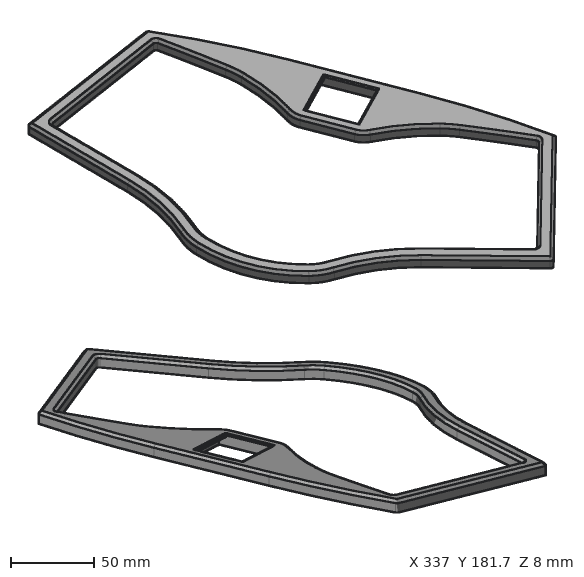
import cadquery as cq
import math

overall_length = 337.0
overall_width = 181.7
thickness = 8.0
rim_width = 10.0
edge_chamfer = 2.0
corner_radius = 2.05

arm_angle = 20.0
lower_corner_y = -19.5
top_y = overall_width / 2
top_half_flat = 42.0
top_corner_y = 84.3
bottom_y = -overall_width / 2
bottom_radius = 97.8
bottom_half_angle = 21.7
blend_radius = 39.5
shoulder_radius = 124.5

bridge_bottom_y = 43.0
bridge_half_flat = 17.5
bridge_tangent_points = [(-26.5, 46.2), (-63.7, 66.0), (-75.2, 69.0)]
opening_top_y = 77.0

window_length = 33.7
window_height = 31.7
window_center_y = 67.0
window_chamfer = 1.0
side_lip_thickness = 2.0
side_recess_depth = 5.0


def up_normal(slope):
    """Unit vector square to an edge that falls to the right at this slope (degrees)."""
    return (math.sin(math.radians(slope)), math.cos(math.radians(slope)))


def shifted(point, direction, distance):
    return (point[0] + direction[0] * distance, point[1] + direction[1] * distance)


def dot(a, b):
    return a[0] * b[0] + a[1] * b[1]


side_direction = up_normal(arm_angle)
arm_direction = (side_direction[1], -side_direction[0])

corner_overshoot = corner_radius * (arm_direction[0] + side_direction[0] - 1)
lower_corner = (-overall_length / 2 - corner_overshoot, lower_corner_y)

bottom_center = (0, bottom_y + bottom_radius)
blend_center = shifted(bottom_center, up_normal(bottom_half_angle), blend_radius - bottom_radius)
rise_above_arm = dot(side_direction, blend_center) - dot(side_direction, lower_corner)
steepest_angle = arm_angle + math.degrees(
    math.acos((rise_above_arm + shoulder_radius) / (blend_radius + shoulder_radius))
)
shoulder_center = shifted(
    blend_center, up_normal(steepest_angle), -(blend_radius + shoulder_radius)
)


def rim_corner(inset):
    """Lower corner of the outline moved inward from both the side and the arm."""
    return shifted(shifted(lower_corner, arm_direction, inset), side_direction, inset)


def side_point(y, inset):
    """Point at height y on the side edge moved inward."""
    start = rim_corner(inset)
    return shifted(start, side_direction, (y - start[1]) / side_direction[1])


def add_lower_edge(path, inset):
    """Continue a path down the side, along the arm and round to the bottom middle."""
    shoulder_start = shifted(shoulder_center, up_normal(arm_angle), shoulder_radius + inset)
    shoulder_end = shifted(shoulder_center, up_normal(steepest_angle), shoulder_radius + inset)
    blend_end = shifted(bottom_center, up_normal(bottom_half_angle), inset - bottom_radius)
    path = path.lineTo(*rim_corner(inset)).lineTo(*shoulder_start)
    for point in (shoulder_end, blend_end, (0, bottom_y + inset)):
        path = path.tangentArcPoint(point, relative=False)
    return path


def round_corners(body, corners):
    """Round the upright edges at these corners and at their mirror images."""
    for x, y in corners:
        for side in (1, -1):
            edge = cq.selectors.NearestToPointSelector((side * x, y, thickness / 2))
            body = body.edges("|Z").edges(edge).fillet(corner_radius)
    return body


def make_blank():
    corner = side_point(top_corner_y, 0)
    path = cq.Workplane("XY").moveTo(0, top_y).lineTo(-top_half_flat, top_y)
    path = path.tangentArcPoint(corner, relative=False)
    blank = add_lower_edge(path, 0).mirrorY().extrude(thickness).clean()
    return round_corners(blank, [corner, lower_corner])


def make_opening():
    corner = side_point(opening_top_y, rim_width)
    path = cq.Workplane("XY").moveTo(0, bridge_bottom_y).lineTo(-bridge_half_flat, bridge_bottom_y)
    for point in bridge_tangent_points + [corner]:
        path = path.tangentArcPoint(point, relative=False)
    opening = add_lower_edge(path, rim_width).mirrorY().extrude(thickness).clean()
    return round_corners(opening, [corner, rim_corner(rim_width)])


def make_window():
    window = cq.Workplane("XY").rect(window_length, window_height).extrude(thickness)
    recess = (
        cq.Workplane("XY")
        .rect(window_length + 2 * side_recess_depth, window_height)
        .extrude(thickness - side_lip_thickness)
    )
    flare = (
        cq.Workplane("XY", origin=(0, 0, thickness))
        .rect(window_length + 2 * window_chamfer, window_height + 2 * window_chamfer)
        .workplane(offset=-window_chamfer)
        .rect(window_length, window_height)
        .loft(ruled=True)
    )
    return window.union(recess).union(flare).translate((0, window_center_y, 0))


frame = make_blank().cut(make_opening())
frame = frame.faces(">Z").edges().chamfer(edge_chamfer)
result = frame.cut(make_window())